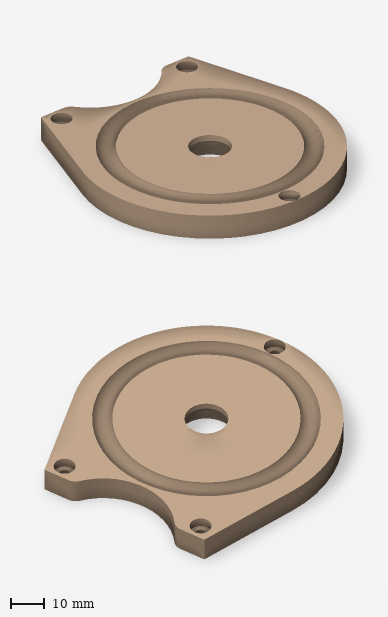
import cadquery as cq
import math

plate_thickness = 8.0
disc_radius = 40.8
flat_edge_x = disc_radius - 85.8
corner_y = 28.3

notch_depth = 9.7
notch_radius = 21.3
notch_mouth_fillet = 4.0

groove_inner_radius = 28.05
groove_outer_radius = 34.1

center_hole_diameter = 13.0
center_counterbore_diameter = 17.3
center_lip_thickness = 2.0

screw_hole_diameter = 3.3
counterbore_diameter = 6.5
counterbore_depth = 3.0
rear_screw_x = 37.5
front_screw_x = -40.5
front_screw_y = 24.1
screw_centers = [
    (rear_screw_x, 0),
    (front_screw_x, front_screw_y),
    (front_screw_x, -front_screw_y),
]


def make_plate():
    corner_distance = math.hypot(flat_edge_x, corner_y)
    corner_angle = math.atan2(corner_y, flat_edge_x)
    tangent_angle = corner_angle - math.acos(disc_radius / corner_distance)
    tangent_x = disc_radius * math.cos(tangent_angle)
    tangent_y = disc_radius * math.sin(tangent_angle)
    return (
        cq.Workplane("XY")
        .moveTo(flat_edge_x, -corner_y)
        .lineTo(tangent_x, -tangent_y)
        .threePointArc((disc_radius, 0), (tangent_x, tangent_y))
        .lineTo(flat_edge_x, corner_y)
        .close()
        .extrude(plate_thickness)
    )


def cut_notch(plate):
    notch_center_x = flat_edge_x + notch_depth - notch_radius
    notch = (
        cq.Workplane("XY")
        .center(notch_center_x, 0)
        .circle(notch_radius)
        .extrude(plate_thickness)
    )
    mouth_half_width = math.sqrt(notch_radius**2 - (flat_edge_x - notch_center_x) ** 2)
    notched = plate.cut(notch)
    for side in (-1, 1):
        mouth_corner = (flat_edge_x, side * mouth_half_width, plate_thickness / 2)
        nearest_edge = cq.selectors.NearestToPointSelector(mouth_corner)
        notched = notched.edges(nearest_edge).fillet(notch_mouth_fillet)
    return notched


def make_ring_groove():
    section_radius = (groove_outer_radius - groove_inner_radius) / 2
    ring_radius = (groove_outer_radius + groove_inner_radius) / 2
    return (
        cq.Workplane("XZ")
        .center(ring_radius, plate_thickness)
        .circle(section_radius)
        .revolve(360, (-ring_radius, 0), (-ring_radius, 1))
    )


def make_center_bore():
    counterbore_height = plate_thickness - center_lip_thickness
    through_hole = cq.Workplane("XY").circle(center_hole_diameter / 2).extrude(plate_thickness)
    counterbore = cq.Workplane("XY").circle(center_counterbore_diameter / 2).extrude(counterbore_height)
    return through_hole.union(counterbore)


def drill_screw_holes(plate):
    return (
        plate.faces(">Z")
        .workplane(origin=(0, 0, plate_thickness))
        .pushPoints(screw_centers)
        .cboreHole(screw_hole_diameter, counterbore_diameter, counterbore_depth)
    )


plate = cut_notch(make_plate())
plate = plate.cut(make_ring_groove()).cut(make_center_bore())
result = drill_screw_holes(plate)